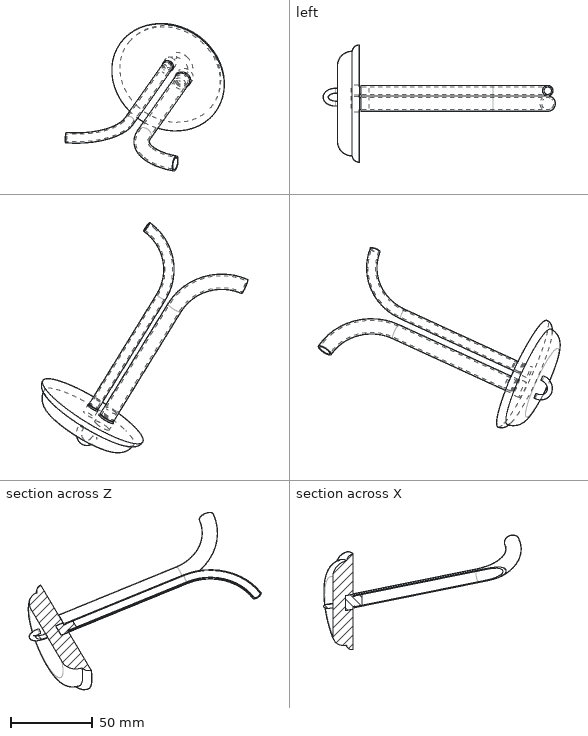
import cadquery as cq
import math

LID_RADIUS = 36.09
RIM_ROUND = 4.5
DOME_RADIUS = 32.2
LID_HEIGHT = 13.5

THIN_AXIS = (0.0, 7.9)
THICK_AXIS = (9.5, 0.0)

THIN_OUTER_DIAMETER = 6.5
THIN_BORE_DIAMETER = 4.6
THICK_OUTER_DIAMETER = 9.5
THICK_BORE_DIAMETER = 7.4
TUBE_GAP = 1.0
STRAIGHT_LENGTH = 81.0
BEND_RADIUS = 33.8
BEND_ANGLE = 84.0

THIN_BASE_DIAMETER = 7.3
THICK_BASE_DIAMETER = 10.4
BASE_DEPTH = 5.0
NECK_FILLET = 0.4
NECK_INSERTION = 5.0

LOOP_DIAMETER = 3.2
LOOP_LEG = 1.0


def make_base(axis, diameter):
    """Cylinder sunk into the lid from its flat face; it shapes both a socket and a connector base."""
    x, z = axis
    return cq.Workplane("XZ", origin=(x, 0, z)).circle(diameter / 2).extrude(-BASE_DEPTH)


def make_lid():
    """Dome on a quarter-round rim, revolved about the Y axis, with two sockets in the flat face."""
    rim_centre = LID_RADIUS - RIM_ROUND
    step_angle = math.acos((DOME_RADIUS - rim_centre) / RIM_ROUND)
    step_height = RIM_ROUND * math.sin(step_angle)
    rim_middle = (
        rim_centre + RIM_ROUND * math.cos(step_angle / 2),
        RIM_ROUND * math.sin(step_angle / 2),
    )
    dome_round = LID_HEIGHT - step_height
    dome_centre = DOME_RADIUS - dome_round
    dome_middle = (
        dome_centre + dome_round * math.sqrt(0.5),
        step_height + dome_round * math.sqrt(0.5),
    )
    body = (
        cq.Workplane("XY")
        .lineTo(LID_RADIUS, 0)
        .threePointArc(rim_middle, (DOME_RADIUS, step_height))
        .threePointArc(dome_middle, (dome_centre, LID_HEIGHT))
        .lineTo(0, LID_HEIGHT)
        .close()
        .revolve(360, (0, 0), (0, 1))
    )
    for axis, base_diameter in ((THIN_AXIS, THIN_BASE_DIAMETER), (THICK_AXIS, THICK_BASE_DIAMETER)):
        body = body.cut(make_base(axis, base_diameter))
    return body


def make_tube(axis, outer_diameter, bore_diameter, bend_side):
    """Open tube running toward -Y, then bent toward +X (bend_side 1) or -X (bend_side -1)."""
    x, z = axis

    def ring_at(y):
        return (
            cq.Workplane("XZ", origin=(x, y, z))
            .circle(outer_diameter / 2)
            .circle(bore_diameter / 2)
        )

    straight = ring_at(-TUBE_GAP).extrude(STRAIGHT_LENGTH)
    pivot = bend_side * BEND_RADIUS
    bend = ring_at(-TUBE_GAP - STRAIGHT_LENGTH).revolve(BEND_ANGLE, (pivot, 0), (pivot, bend_side))
    return straight.union(bend)


def make_connector(axis, base_diameter, neck_diameter):
    """Base flush with the lid's flat face, with a neck filleted onto it."""
    x, z = axis
    neck_radius = neck_diameter / 2
    foot_radius = neck_radius + NECK_FILLET
    neck_length = TUBE_GAP + NECK_INSERTION
    fillet_middle = (
        foot_radius - NECK_FILLET * math.sqrt(0.5),
        -NECK_FILLET + NECK_FILLET * math.sqrt(0.5),
    )
    neck = (
        cq.Workplane("XY")
        .lineTo(foot_radius, 0)
        .threePointArc(fillet_middle, (neck_radius, -NECK_FILLET))
        .lineTo(neck_radius, -neck_length)
        .lineTo(0, -neck_length)
        .close()
        .revolve(360, (0, 0), (0, 1))
        .translate((x, 0, z))
    )
    return make_base(axis, base_diameter).union(neck)


def make_loop():
    """Half ring on two short legs, joining the two tube axes on top of the dome."""
    (start_x, start_z), (end_x, end_z) = THIN_AXIS, THICK_AXIS
    ring_radius = math.hypot(end_x - start_x, end_z - start_z) / 2
    middle_x = (start_x + end_x) / 2
    middle_z = (start_z + end_z) / 2
    leg_top = LID_HEIGHT + LOOP_LEG
    path = cq.Wire.assembleEdges([
        cq.Edge.makeLine(
            cq.Vector(start_x, LID_HEIGHT, start_z),
            cq.Vector(start_x, leg_top, start_z),
        ),
        cq.Edge.makeThreePointArc(
            cq.Vector(start_x, leg_top, start_z),
            cq.Vector(middle_x, leg_top + ring_radius, middle_z),
            cq.Vector(end_x, leg_top, end_z),
        ),
        cq.Edge.makeLine(
            cq.Vector(end_x, leg_top, end_z),
            cq.Vector(end_x, LID_HEIGHT, end_z),
        ),
    ])
    return (
        cq.Workplane("XZ", origin=(start_x, LID_HEIGHT, start_z))
        .circle(LOOP_DIAMETER / 2)
        .sweep(cq.Workplane(path))
    )


lid = make_lid()
loop = make_loop()
thin_tube = make_tube(THIN_AXIS, THIN_OUTER_DIAMETER, THIN_BORE_DIAMETER, -1)
thick_tube = make_tube(THICK_AXIS, THICK_OUTER_DIAMETER, THICK_BORE_DIAMETER, 1)
thin_connector = make_connector(THIN_AXIS, THIN_BASE_DIAMETER, THIN_BORE_DIAMETER)
thick_connector = make_connector(THICK_AXIS, THICK_BASE_DIAMETER, THICK_BORE_DIAMETER)

result = cq.Compound.makeCompound([
    lid.val(),
    loop.val(),
    thin_tube.val(),
    thick_tube.val(),
    thin_connector.val(),
    thick_connector.val(),
])